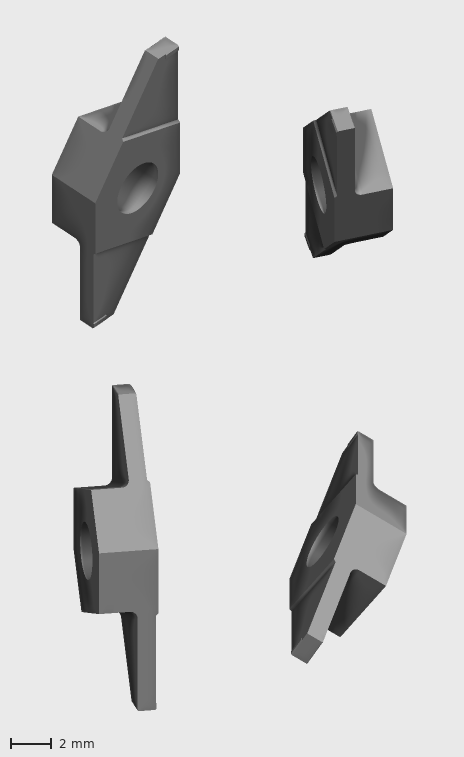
import cadquery as cq
import math

thickness = 3.0
width = 6.0
height = 15.0

tip_width = 1.41
tip_bevel = 0.03
corner_height = 0.93

hub_tilt = 18.0
hub_half = 3.08
hub_fillet = 0.39
hole_diameter = 2.9

blade_front = 1.95
blade_back = 2.86

step_half = 3.24
step_run = 0.12

rib_rise = 0.05
rib_height = 0.36
rib_length = 0.9

HALF_TURN = 180
half_width = width / 2
half_height = height / 2


def full_outline():
    """Rhomboid plate of full thickness, with X from 0 to thickness."""
    corners = [
        (half_width, half_height),
        (half_width, -corner_height),
        (tip_width - half_width, -half_height),
        (-half_width, -half_height),
        (-half_width, corner_height),
        (half_width - tip_width, half_height),
    ]
    return cq.Workplane("YZ").polyline(corners).close().extrude(thickness)


def half_turn(body):
    """Copy of a body turned half a revolution about the hole axis."""
    return body.rotate((0, 0, 0), (1, 0, 0), HALF_TURN)


def tilted_prism(profile):
    """Extrude a closed XZ profile along Y, then tilt it parallel to the hub sides."""
    body = profile.close().extrude(height, both=True)
    return body.rotate((0, 0, 0), (1, 0, 0), -hub_tilt)


def front_relief():
    """Material removed in front of the upper blade, with a rounded inner corner."""
    arc_mid = hub_fillet * math.sqrt(0.5)
    center_x = blade_front - hub_fillet
    center_z = hub_half + hub_fillet
    profile = (
        cq.Workplane("XZ")
        .moveTo(0, hub_half)
        .lineTo(center_x, hub_half)
        .threePointArc((center_x + arc_mid, center_z - arc_mid), (blade_front, center_z))
        .lineTo(blade_front, height)
        .lineTo(0, height)
    )
    return tilted_prism(profile)


def back_relief():
    """Shallow material removed behind the upper blade, leaving the tip rib."""
    profile = (
        cq.Workplane("XZ")
        .moveTo(thickness, step_half)
        .lineTo(blade_back, step_half + step_run)
        .lineTo(blade_back, height)
        .lineTo(thickness, height)
    )
    return tilted_prism(profile).cut(tip_rib())


def tip_bevels():
    """Small 45 degree bevels on the front and back edges of the upper tip."""
    cutters = cq.Workplane("XZ")
    for face_x, inward in ((blade_front, 1), (blade_back, -1)):
        corner = (
            cq.Workplane("XZ")
            .moveTo(face_x, half_height)
            .lineTo(face_x + inward * tip_bevel, half_height)
            .lineTo(face_x, half_height - tip_bevel)
            .close()
            .extrude(width, both=True)
        )
        cutters = cutters.add(corner)
    return cutters.combine()


def tip_rib():
    """Bevelled rib along the upper tip, starting at its +Y corner."""
    rib_base = half_height - rib_height
    rib_top = half_height - tip_bevel
    return (
        cq.Workplane("XZ", origin=(0, half_width, 0))
        .moveTo(blade_back, rib_base)
        .lineTo(blade_back + rib_rise, rib_base + rib_rise)
        .lineTo(blade_back + rib_rise, rib_top - rib_rise)
        .lineTo(blade_back, rib_top)
        .close()
        .extrude(rib_length)
    )


def hole():
    return cq.Workplane("YZ").circle(hole_diameter / 2).extrude(thickness)


result = full_outline().cut(hole())
for relief in (front_relief(), back_relief(), tip_bevels()):
    result = result.cut(relief).cut(half_turn(relief))